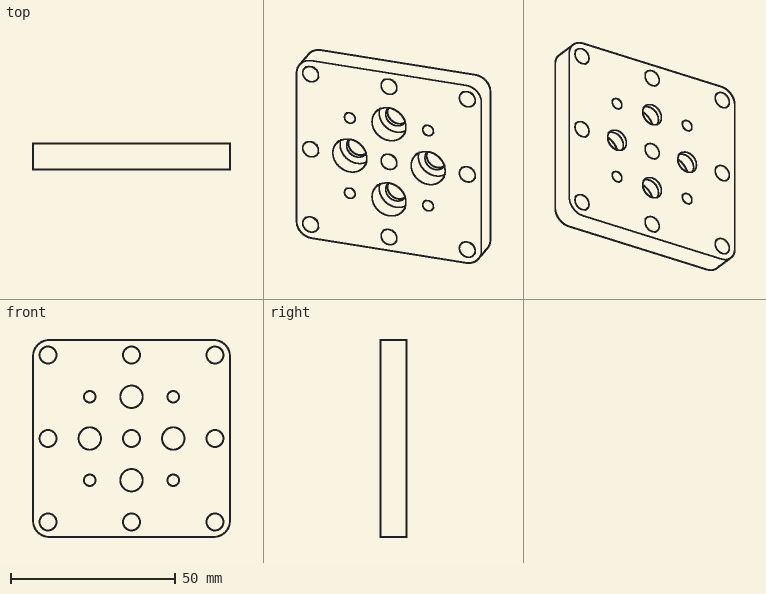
import cadquery as cq

side = 60.0
thickness = 8.0
corner_radius = 5.0

outer_pitch = 25.4
inner_pitch = outer_pitch / 2

mounting_diameter = 5.1
cross_diameter = 6.75
small_diameter = 3.45

counterbore_diameter = 11.0
counterbore_depth = 6.35


def make_plate():
    """Plate with rounded corners, centred on the origin."""
    return cq.Workplane("XY").box(side, thickness, side).edges("|Y").fillet(corner_radius)


def drill(plate, centres, diameter):
    """Cut round holes through the full thickness at the given (x, z) centres."""
    cutters = (
        cq.Workplane("XZ")
        .pushPoints(centres)
        .circle(diameter / 2)
        .extrude(thickness, both=True)
    )
    return plate.cut(cutters)


def counterbore_back(plate, centres):
    """Sink round pockets from the +Y face at the given (x, z) centres."""
    pocket_floor = thickness / 2 - counterbore_depth
    cutters = (
        cq.Workplane("XZ", origin=(0, pocket_floor, 0))
        .pushPoints(centres)
        .circle(counterbore_diameter / 2)
        .extrude(-counterbore_depth)
    )
    return plate.cut(cutters)


steps = (-1, 0, 1)

mounting_centres = [(i * outer_pitch, k * outer_pitch) for i in steps for k in steps]

cross_centres = [
    (i * inner_pitch, k * inner_pitch) for i in steps for k in steps if abs(i) + abs(k) == 1
]
small_centres = [
    (i * inner_pitch, k * inner_pitch) for i in steps for k in steps if abs(i) + abs(k) == 2
]

result = make_plate()
result = drill(result, mounting_centres, mounting_diameter)
result = drill(result, cross_centres, cross_diameter)
result = counterbore_back(result, cross_centres)
result = drill(result, small_centres, small_diameter)